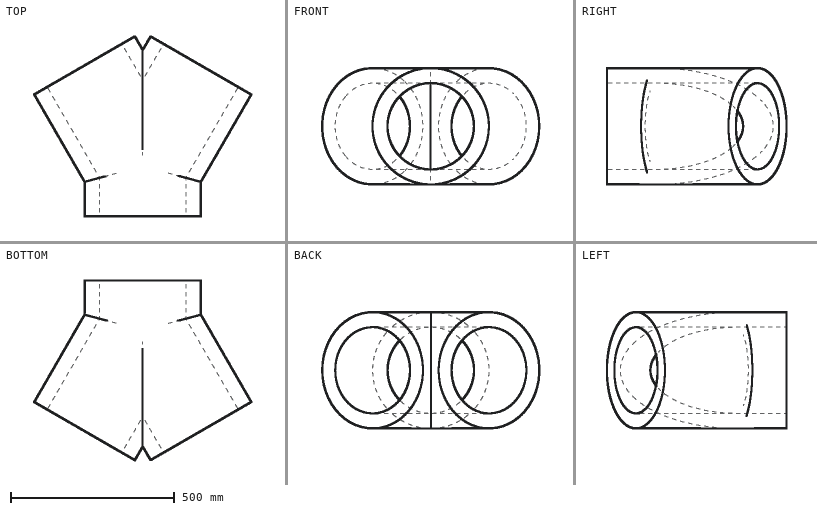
import cadquery as cq
import math

outer_diameter = 355.5
bore_diameter = 263.5
inlet_length = 152.5
branch_length = outer_diameter
branch_angle = math.radians(30)


def bent_rod(diameter, side):
    """Solid mitred rod along the inlet and one branch; side is +1 for +X, -1 for -X."""
    branch_end = (
        side * branch_length * math.sin(branch_angle),
        inlet_length + branch_length * math.cos(branch_angle),
    )
    centreline = cq.Workplane("XY").polyline([(0, 0), (0, inlet_length), branch_end])
    return cq.Workplane("XZ").circle(diameter / 2).sweep(centreline, transition="right")


def wye(diameter):
    """Solid Y formed by the two bent rods, which share the inlet."""
    return bent_rod(diameter, 1).union(bent_rod(diameter, -1))


result = wye(outer_diameter).cut(wye(bore_diameter))